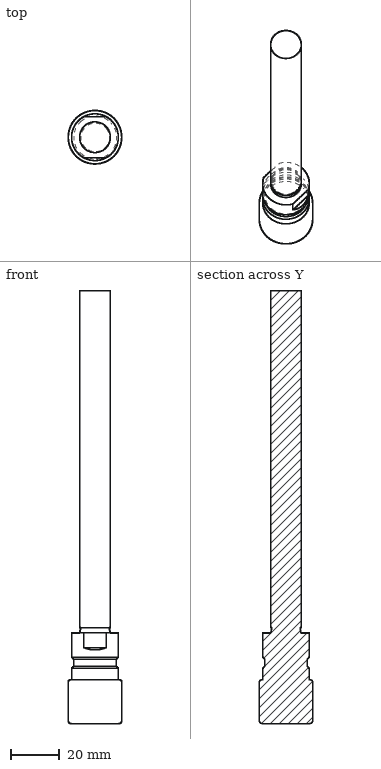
import cadquery as cq
import math

TOTAL_LENGTH = 177.0

BASE_DIAMETER = 22.0
BASE_TOP = 18.0
BASE_TOP_EDGE_RADIUS = 1.0
BASE_BOTTOM_EDGE_RADIUS = 1.2

COLLAR_DIAMETER = 19.1
COLLAR_TOP = 37.2

GROOVE_DIAMETER = 17.5
GROOVE_BOTTOM = 22.7
GROOVE_TOP = 27.3
GROOVE_WALL_RISE = 0.9

FLATS_WIDTH = 16.8
FLATS_BOTTOM = 31.2
FLATS_END_ANGLE = 40.0

ROD_DIAMETER = 12.5
RELIEF_DIAMETER = 11.7
RELIEF_TOP = 39.3


def cylinder(diameter, bottom, top):
    """Round bar on the Z axis between two heights."""
    return cq.Workplane("XY").workplane(offset=bottom).circle(diameter / 2).extrude(top - bottom)


def base():
    """Wide foot with rounded rims."""
    body = cylinder(BASE_DIAMETER, 0, BASE_TOP)
    body = body.faces(">Z").edges().fillet(BASE_TOP_EDGE_RADIUS)
    return body.faces("<Z").edges().fillet(BASE_BOTTOM_EDGE_RADIUS)


def groove():
    """Ring cut from the collar, with walls that slope outward from its floor."""
    floor_radius = GROOVE_DIAMETER / 2
    collar_radius = COLLAR_DIAMETER / 2
    ring = (
        cq.Workplane("XZ")
        .moveTo(collar_radius, GROOVE_BOTTOM)
        .lineTo(floor_radius, GROOVE_BOTTOM + GROOVE_WALL_RISE)
        .lineTo(floor_radius, GROOVE_TOP - GROOVE_WALL_RISE)
        .lineTo(collar_radius, GROOVE_TOP)
        .close()
    )
    return ring.revolve(360, (0, 0, 0), (0, 1, 0))


def flat_cutter():
    """Cutter for the wrench flat on +Y; its lower end slopes outward and down."""
    inner_y = FLATS_WIDTH / 2
    outer_y = BASE_DIAMETER / 2
    slope_drop = (outer_y - inner_y) * math.tan(math.radians(FLATS_END_ANGLE))
    return (
        cq.Workplane("YZ")
        .moveTo(inner_y, COLLAR_TOP)
        .lineTo(inner_y, FLATS_BOTTOM)
        .lineTo(outer_y, FLATS_BOTTOM - slope_drop)
        .lineTo(outer_y, COLLAR_TOP)
        .close()
        .extrude(COLLAR_DIAMETER / 2, both=True)
    )


def collar():
    """Grooved collar with two opposite wrench flats."""
    body = cylinder(COLLAR_DIAMETER, BASE_TOP, COLLAR_TOP).cut(groove())
    cutter = flat_cutter()
    return body.cut(cutter).cut(cutter.mirror("XZ"))


def rod():
    """Long rod with a conical relief above the collar, flaring downward to full width at the collar face."""
    rod_radius = ROD_DIAMETER / 2
    relief_radius = RELIEF_DIAMETER / 2
    half_profile = (
        cq.Workplane("XZ")
        .moveTo(0, COLLAR_TOP)
        .lineTo(rod_radius, COLLAR_TOP)
        .lineTo(relief_radius, RELIEF_TOP)
        .lineTo(rod_radius, RELIEF_TOP)
        .lineTo(rod_radius, TOTAL_LENGTH)
        .lineTo(0, TOTAL_LENGTH)
        .close()
    )
    return half_profile.revolve(360, (0, 0, 0), (0, 1, 0))


result = base().union(collar()).union(rod())